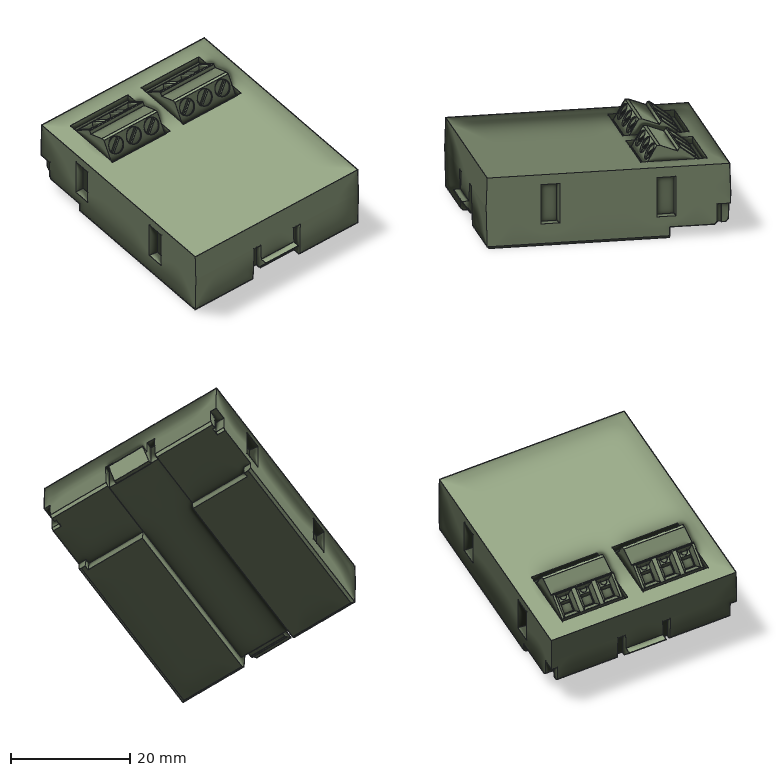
import cadquery as cq
import math

length = 44.6
width = 34.8
housing_top = 12.58
height = 15.15

parting_z = 7.35
housing_half_length = 20.8
parting_half_length = 20.95
end_chamfer = 0.5
rail_step_x = -10.53
rail_step_z = 2.0
middle_setback = 0.9
skirt_thickness = 1.45
side_chamfer = 0.5
underside_flare = 0.2

channel_half_width = 4.95
channel_height = 2.15
tongue_half_width = 3.5
tongue_slot_depth = 1.15
hook_top = 4.3
hook_tip_height = 0.1
hook_root_x = 20.43

side_slot_outer_x = 11.55
side_slot_inner_x = 8.35
side_slot_lean = 0.22
side_slot_bottom = 3.92
side_slot_top = 10.85
side_slot_depth = 1.55

notch_top = 5.58
notch_step_x = -19.6
notch_end_x = -18.6
notch_shallow = 1.15
notch_deep = 1.55
notch_chamfer = 0.4

block_center_y = 7.6
block_width = 11.4
block_pocket_width = 12.3
block_pocket_x = (-17.65, -6.25)
block_pocket_floor = 11.37
block_foot_x = (-17.1, -6.85)
wire_face_foot = (-16.7, 11.95)
wire_face_top = (-13.25, 14.55)
lip_x = -13.0
valley = (-12.65, 14.0)
ridge_x = (-9.7, -9.1)
ridge_end = (ridge_x[1], height)
screw_face_foot = (-7.1, 11.7)
pole_count = 3
pole_pitch = 3.8

funnel_length = 4.1
funnel_width = 3.0
funnel_depth = 0.75
funnel_taper = 37.0
throat_low_end = -1.5
throat_high_end = 0.62
throat_width = 1.87
throat_depth = 0.6
clamp_hole_diameter = 1.15
clamp_hole_depth = 0.15
clamp_hole_shift = 1.43
screw_diameter = 3.0
screw_drop = 1.75
screw_recess = 0.25
screw_slot_width = 0.62
screw_slot_depth = 0.45
screw_slot_angle = 45.0


def box(x_range, y_range, z_range):
    """Box between the given limits on each axis."""
    size = [high - low for low, high in (x_range, y_range, z_range)]
    corner = (x_range[0], y_range[0], z_range[0])
    return cq.Workplane("XY").box(*size, centered=False).translate(corner)


def prism_along_y(points, y_center, y_width):
    """Extrude an XZ outline, centred on y_center."""
    start = cq.Workplane("XZ", origin=(0, y_center, 0))
    return start.polyline(points).close().extrude(y_width / 2, both=True)


def flared_recess(x_range, half_width, depth):
    """Recess along X in the underside, slightly wider at its mouth than at its ceiling."""
    mouth = half_width + underside_flare
    outline = [(-mouth, 0), (mouth, 0), (half_width, depth), (-half_width, depth)]
    start = cq.Workplane("YZ", origin=(x_range[0], 0, 0))
    return start.polyline(outline).close().extrude(x_range[1] - x_range[0])


def both_sides(solid):
    """The solid together with its mirror image across the XZ plane."""
    return solid.union(solid.mirror("XZ"))


def make_housing():
    outline = [
        (-housing_half_length, housing_top),
        (housing_half_length, housing_top),
        (parting_half_length, parting_z),
        (housing_half_length, end_chamfer),
        (housing_half_length - end_chamfer, 0),
        (rail_step_x, 0),
        (rail_step_x, rail_step_z),
        (end_chamfer - housing_half_length, rail_step_z),
        (-housing_half_length, rail_step_z + end_chamfer),
        (-parting_half_length, parting_z),
    ]
    housing = prism_along_y(outline, 0, width)
    housing = housing.faces("<Z").edges("|X").chamfer(side_chamfer)
    setback_x = (rail_step_x, rail_step_x + middle_setback)
    setback = flared_recess(setback_x, width / 2 - skirt_thickness, rail_step_z)
    channel = flared_recess((-length / 2, length / 2), channel_half_width, channel_height)
    return housing.cut(setback).cut(channel)


def make_tongue_slots():
    slots = box(
        (-length / 2, tongue_slot_depth - parting_half_length),
        (tongue_half_width, channel_half_width),
        (0, parting_z),
    )
    slots = both_sides(slots)
    return slots.union(slots.mirror("YZ"))


def make_tongues():
    tip_x = length / 2
    flare = (parting_half_length - housing_half_length) / (housing_top - parting_z)
    hook_face_x = parting_half_length + flare * (parting_z - hook_top)
    inner_x = parting_half_length - tongue_slot_depth
    outline = [
        (inner_x, parting_z),
        (parting_half_length, parting_z),
        (hook_face_x, hook_top),
        (tip_x, hook_top),
        (tip_x, hook_top - hook_tip_height),
        (hook_root_x, rail_step_z),
        (inner_x, rail_step_z),
    ]
    tongue = prism_along_y(outline, 0, 2 * tongue_half_width)
    return tongue.union(tongue.mirror("YZ"))


def make_side_slots():
    """Four slots; the wall nearest the middle leans inwards with depth."""
    outer_y = -width / 2
    floor_y = outer_y + side_slot_depth
    outline = [
        (side_slot_outer_x, outer_y),
        (side_slot_outer_x, floor_y),
        (side_slot_inner_x + side_slot_lean, floor_y),
        (side_slot_inner_x, outer_y),
    ]
    slot = (
        cq.Workplane("XY", origin=(0, 0, side_slot_bottom))
        .polyline(outline)
        .close()
        .extrude(side_slot_top - side_slot_bottom)
    )
    slots = both_sides(slot)
    return slots.union(slots.mirror("YZ"))


def make_corner_notches():
    outer_y = -width / 2
    shallow = box((-length / 2, notch_step_x), (outer_y, outer_y + notch_shallow), (0, notch_top))
    deep_outline = [
        (notch_step_x, notch_top),
        (notch_end_x, notch_top),
        (notch_end_x, rail_step_z + notch_chamfer),
        (notch_end_x + notch_chamfer, rail_step_z),
        (notch_step_x, rail_step_z),
    ]
    deep = prism_along_y(deep_outline, outer_y + notch_deep / 2, notch_deep)
    return both_sides(shallow.union(deep))


def face_plane(start, end, distance, y):
    """Plane on the block face from start to end (XZ), its origin the given distance from start.

    Local X runs from start to end and the normal points into the block.
    """
    run = end[0] - start[0]
    rise = end[1] - start[1]
    share = distance / math.hypot(run, rise)
    origin = (start[0] + share * run, y, start[1] + share * rise)
    return cq.Plane(origin=origin, xDir=(run, 0, rise), normal=(rise, 0, -run))


def make_wire_opening(y):
    """Funnel square to the wire face, a throat in its lower part and a clamp hole in its ledge.

    The upper end of the throat is upright.
    """
    half_face = math.dist(wire_face_foot, wire_face_top) / 2
    face = cq.Workplane(face_plane(wire_face_foot, wire_face_top, half_face, y))
    funnel = face.rect(funnel_length, funnel_width).extrude(funnel_depth, taper=funnel_taper)
    throat_plane = cq.Plane(origin=face.plane.origin, xDir=face.plane.xDir, normal=(0, -1, 0))
    face_slope = (wire_face_top[1] - wire_face_foot[1]) / (wire_face_top[0] - wire_face_foot[0])
    throat_bottom = funnel_depth + throat_depth
    throat_outline = [
        (throat_low_end, -funnel_depth / 2),
        (throat_high_end + face_slope * funnel_depth / 2, -funnel_depth / 2),
        (throat_high_end - face_slope * throat_depth, -throat_bottom),
        (throat_low_end, -throat_bottom),
    ]
    throat = cq.Workplane(throat_plane).polyline(throat_outline).close().extrude(throat_width / 2, both=True)
    clamp_hole = (
        face.workplane(offset=funnel_depth)
        .center(clamp_hole_shift, 0)
        .circle(clamp_hole_diameter / 2)
        .extrude(clamp_hole_depth)
    )
    return funnel.union(throat).union(clamp_hole)


def make_screw_recess(y):
    """Round screw recess with a driver slot across its floor."""
    face = cq.Workplane(face_plane(ridge_end, screw_face_foot, screw_drop, y))
    head = face.circle(screw_diameter / 2).extrude(screw_recess)
    full_depth = screw_recess + screw_slot_depth
    slot = (
        face.transformed(rotate=(0, 0, screw_slot_angle))
        .rect(screw_diameter, screw_slot_width)
        .extrude(full_depth)
    )
    slot_limit = face.circle(screw_diameter / 2).extrude(full_depth)
    return head.union(slot.intersect(slot_limit))


def make_block(y_center):
    outline = [
        (block_foot_x[0], block_pocket_floor),
        wire_face_foot,
        wire_face_top,
        (lip_x, wire_face_top[1]),
        valley,
        (ridge_x[0], height),
        ridge_end,
        screw_face_foot,
        (block_foot_x[1], screw_face_foot[1]),
        (block_foot_x[1], block_pocket_floor),
    ]
    block = prism_along_y(outline, y_center, block_width)
    for pole in range(pole_count):
        pole_y = y_center + (pole - (pole_count - 1) / 2) * pole_pitch
        block = block.cut(make_wire_opening(pole_y))
        block = block.cut(make_screw_recess(pole_y))
    return block


def make_block_pocket(y_center):
    half_width = block_pocket_width / 2
    return box(
        block_pocket_x,
        (y_center - half_width, y_center + half_width),
        (block_pocket_floor, housing_top),
    )


result = make_housing()
result = result.cut(make_tongue_slots()).union(make_tongues())
result = result.cut(make_side_slots()).cut(make_corner_notches())
for center_y in (-block_center_y, block_center_y):
    result = result.cut(make_block_pocket(center_y)).union(make_block(center_y))